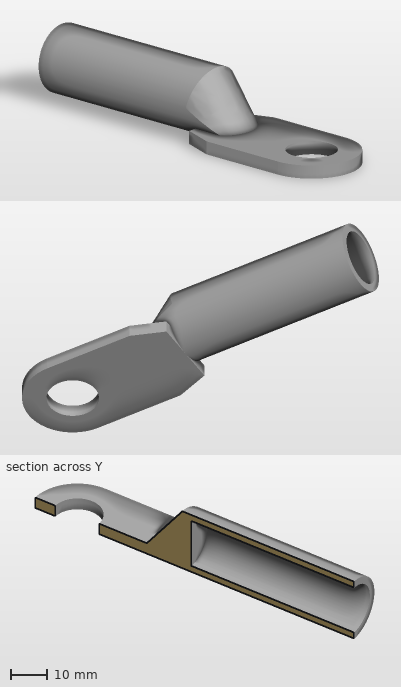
import cadquery as cq

TOTAL_LENGTH = 106.0

BARREL_RADIUS = 10.0
BORE_RADIUS = 7.75
BORE_DEPTH = 54.0

PALM_WIDTH = 28.0
PALM_THICKNESS = 3.8
PALM_START = 56.0
PALM_START_WIDTH = 20.8
PALM_SHOULDER = 65.7
STUD_HOLE_DIAMETER = 14.5

NOSE_CROWN = 57.1
NOSE_LEAN = 0.73

PALM_END_RADIUS = PALM_WIDTH / 2
STUD_HOLE_X = TOTAL_LENGTH - PALM_END_RADIUS
BARREL_HEIGHT = 2 * BARREL_RADIUS
NOSE_BASE = NOSE_CROWN + NOSE_LEAN * BARREL_HEIGHT


def make_barrel():
    """Round bar whose end is trimmed to the rounded, backward-leaning nose.

    Every level section of the nose ends in a half circle of the barrel radius.
    The half circles step back evenly with height, so the nose meets the barrel skin in flat curves.
    """
    bar = cq.Workplane("YZ").center(0, BARREL_RADIUS).circle(BARREL_RADIUS).extrude(NOSE_BASE)
    return bar.intersect(make_nose_envelope())


def nose_section(height, tip_x):
    """Level outline from the barrel mouth to a half-round tip."""
    tangent_x = tip_x - BARREL_RADIUS
    return (
        cq.Workplane("XY")
        .workplane(offset=height)
        .moveTo(0, -BARREL_RADIUS)
        .lineTo(tangent_x, -BARREL_RADIUS)
        .threePointArc((tip_x, 0), (tangent_x, BARREL_RADIUS))
        .lineTo(0, BARREL_RADIUS)
        .close()
        .val()
    )


def make_nose_envelope():
    """Leaning block that bounds the barrel at its nose."""
    base = nose_section(0, NOSE_BASE)
    crown = nose_section(BARREL_HEIGHT, NOSE_CROWN)
    return cq.Workplane(cq.Solid.makeLoft([base, crown], True))


def make_palm():
    """Flat tongue with a tapered start and a round end."""
    half_width = PALM_WIDTH / 2
    half_start = PALM_START_WIDTH / 2
    return (
        cq.Workplane("XY")
        .moveTo(PALM_START, -half_start)
        .lineTo(PALM_SHOULDER, -half_width)
        .lineTo(STUD_HOLE_X, -half_width)
        .threePointArc((TOTAL_LENGTH, 0), (STUD_HOLE_X, half_width))
        .lineTo(PALM_SHOULDER, half_width)
        .lineTo(PALM_START, half_start)
        .close()
        .extrude(PALM_THICKNESS)
    )


def make_bore():
    """Blind conductor bore, open at x = 0."""
    return cq.Workplane("YZ").center(0, BARREL_RADIUS).circle(BORE_RADIUS).extrude(BORE_DEPTH)


def make_stud_hole():
    """Through hole concentric with the round end of the palm."""
    return cq.Workplane("XY").center(STUD_HOLE_X, 0).circle(STUD_HOLE_DIAMETER / 2).extrude(PALM_THICKNESS)


body = make_barrel().union(make_palm())
result = body.cut(make_bore()).cut(make_stud_hole())